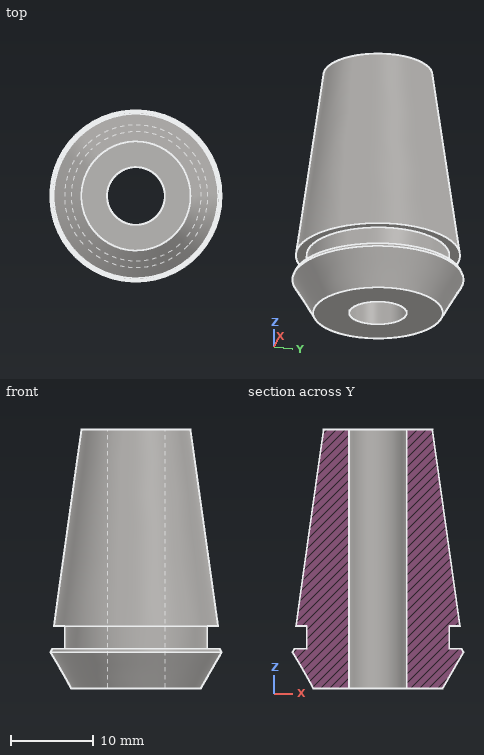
import cadquery as cq
import math

total_length = 31.5
bore_diameter = 7.0

taper_base_diameter = 20.0
taper_half_angle = 8.0

groove_diameter = 17.4
groove_bottom_z = 4.85
groove_width = 2.75

collar_diameter = 20.86
rim_bevel_height = 0.45
rim_bevel_inset = 0.22
cone_half_angle = 30.0

groove_top_z = groove_bottom_z + groove_width
rim_z = groove_bottom_z - rim_bevel_height
taper_length = total_length - groove_top_z
collar_radius = collar_diameter / 2
groove_radius = groove_diameter / 2
taper_base_radius = taper_base_diameter / 2
nose_radius = taper_base_radius - taper_length * math.tan(math.radians(taper_half_angle))
bottom_radius = collar_radius - rim_z * math.tan(math.radians(cone_half_angle))
bore_radius = bore_diameter / 2


def collet_body():
    """Revolve the half section, bore included, about the Z axis."""
    half_section = [
        (bore_radius, 0),
        (bottom_radius, 0),
        (collar_radius, rim_z),
        (collar_radius - rim_bevel_inset, groove_bottom_z),
        (groove_radius, groove_bottom_z),
        (groove_radius, groove_top_z),
        (taper_base_radius, groove_top_z),
        (nose_radius, total_length),
        (bore_radius, total_length),
    ]
    axis_start = (0, 0)
    axis_end = (0, 1)
    return cq.Workplane("XZ").polyline(half_section).close().revolve(360, axis_start, axis_end)


result = collet_body()